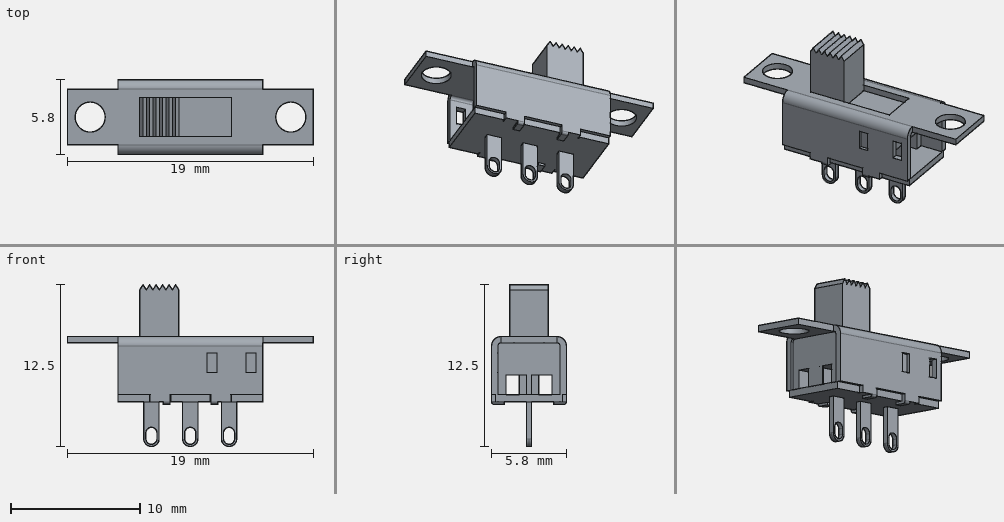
import cadquery as cq


sheet = 0.5
plate_length = 19.0
plate_width = 4.3
housing_length = 11.2
housing_width = 5.8
wall_bottom = -4.5
bend_radius = (housing_width - plate_width) / 2
inner_bend_radius = bend_radius - sheet
inner_width = housing_width - 2 * sheet
mount_hole_diameter = 2.3
mount_hole_spacing = 15.5

slot_start = -3.92
slot_length = 7.07

window_width = 0.75
window_height = 1.5
window_top = -1.3
window_centers = (1.66, 4.68)

floor_thickness = 0.55
floor_bottom = wall_bottom - floor_thickness
floor_width = 5.2
tab_width = 1.55
tab_center = 2.34
tab_gap = 0.05
foot_width = 0.55
foot_length = 1.0
foot_thickness = 0.2
foot_radius = foot_thickness

terminal_count = 3
terminal_width = 1.2
terminal_thickness = 0.42
terminal_pitch = 3.0
terminal_row_center = -0.02
terminal_tip = -8.51
eyelet_width = 0.84
eyelet_length = 1.3

block_start = -5.4
block_end = 3.7
end_wall = 0.1
rib_thickness = 0.42
opening_width = 1.0
opening_height = 1.5
opening_center = 1.26
detent_height = 0.23
knob_length = 3.02
knob_width = 3.0
knob_top = 4.0
tooth_count = 6
tooth_height = 0.4


def box(length, width, bottom, top, x=0.0, y=0.0):
    """A box centred on (x, y) that stands between two heights."""
    return cq.Workplane("XY").box(length, width, top - bottom).translate((x, y, (bottom + top) / 2))


def make_channel():
    outside = box(housing_length, housing_width, wall_bottom, 0).edges("|X and >Z").fillet(bend_radius)
    inside = box(housing_length, inner_width, wall_bottom, -sheet)
    inside = inside.edges("|X and >Z").fillet(inner_bend_radius)
    channel = outside.cut(inside).union(box(plate_length, plate_width, -sheet, 0))

    mount_holes = cq.Workplane("XY").rarray(mount_hole_spacing, 1, 2, 1).circle(mount_hole_diameter / 2)
    slot = box(slot_length, knob_width, -sheet, 0, slot_start + slot_length / 2)
    channel = channel.cut(mount_holes.extrude(-sheet)).cut(slot)

    window_y = (sheet - housing_width) / 2
    for x in window_centers:
        channel = channel.cut(box(window_width, sheet, window_top - window_height, window_top, x, window_y))
    return channel


def make_tab(side_x, side_y):
    """A tab that continues a side wall down to the floor's underside, with a foot bent under the floor."""
    wall_y = side_y * (housing_width - sheet) / 2
    tab = box(tab_width, sheet, floor_bottom, wall_bottom, side_x * tab_center, wall_y)

    foot_x = side_x * (tab_center - (tab_width - foot_width) / 2)
    foot_y = side_y * (housing_width - foot_length) / 2
    foot_bottom = floor_bottom - foot_thickness
    foot = box(foot_width, foot_length, foot_bottom, wall_bottom, foot_x, foot_y)
    outer_side = ">Y" if side_y > 0 else "<Y"
    foot = foot.edges("|X and <Z").edges(outer_side).fillet(foot_radius)
    return tab.union(foot)


def make_terminal(x):
    """A flat blade with a round end and a slotted eyelet."""
    tip_center = terminal_tip + terminal_width / 2
    half_thickness = terminal_thickness / 2
    blade = box(terminal_width, terminal_thickness, tip_center, floor_bottom, x)
    round_end = cq.Workplane("XZ").center(x, tip_center).circle(terminal_width / 2)
    eyelet_center = tip_center + (eyelet_length - eyelet_width) / 2
    eyelet = cq.Workplane("XZ").center(x, eyelet_center).slot2D(eyelet_length, eyelet_width, 90)
    blade = blade.union(round_end.extrude(half_thickness, both=True))
    return blade.cut(eyelet.extrude(half_thickness, both=True))


def make_housing():
    floor = box(housing_length, floor_width, floor_bottom, wall_bottom)
    notch_width = tab_width + 2 * tab_gap
    tabs = []
    for side_x in (-1, 1):
        for side_y in (-1, 1):
            notch_y = side_y * (housing_width - sheet) / 2
            floor = floor.cut(
                box(notch_width, sheet, floor_bottom, wall_bottom, side_x * tab_center, notch_y)
            )
            tabs.append(make_tab(side_x, side_y))

    housing = make_channel().union(floor)
    for tab in tabs:
        housing = housing.union(tab)
    for index in range(terminal_count):
        x = terminal_row_center + (index - (terminal_count - 1) / 2) * terminal_pitch
        housing = housing.union(make_terminal(x))
    return housing.clean()


def make_block():
    block_length = block_end - block_start
    block_center = (block_start + block_end) / 2
    block = box(block_length, inner_width, wall_bottom, -sheet, block_center)
    block = block.edges("|X and >Z").fillet(inner_bend_radius)

    opening_top = wall_bottom + opening_height
    channel_outer = opening_center + opening_width / 2
    channel_inner = rib_thickness / 2
    channel_width = channel_outer - channel_inner
    channel_y = (channel_outer + channel_inner) / 2
    channel_length = block_length - end_wall
    channel_x = block_center + end_wall / 2
    for side in (-1, 1):
        block = block.cut(
            box(block_length, opening_width, wall_bottom, opening_top, block_center, side * opening_center)
        )
        block = block.cut(
            box(channel_length, channel_width, wall_bottom, opening_top, channel_x, side * channel_y)
        )

    detent_y = -(inner_width + detent_height) / 2
    window_bottom = window_top - window_height
    return block.union(
        box(window_width, detent_height, window_bottom, window_top, window_centers[0], detent_y)
    )


def make_knob():
    """Knob with a saw-toothed top, resting against the -X end of the slot."""
    pitch = knob_length / tooth_count
    valley = knob_top - tooth_height
    outline = cq.Workplane("XZ").moveTo(slot_start, -sheet).lineTo(slot_start, valley)
    for index in range(tooth_count):
        tooth_start = slot_start + index * pitch
        outline = outline.lineTo(tooth_start + pitch / 2, knob_top).lineTo(tooth_start + pitch, valley)
    outline = outline.lineTo(slot_start + knob_length, -sheet).close()
    return outline.extrude(knob_width / 2, both=True)


housing = make_housing()
slider = make_block().union(make_knob())

result = cq.Compound.makeCompound([housing.val(), slider.val()])